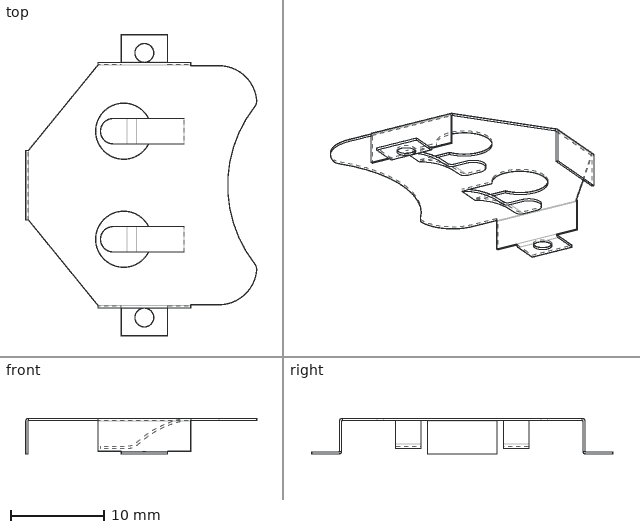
import cadquery as cq
import math


height = 3.85
sheet = 0.25
inner_bend = 0.05
outer_bend = inner_bend + sheet

side_face = 13.19
side_length = 10.0
side_bottom = outer_bend
end_face = 12.74
end_length = 7.5

overall_width = 32.35
foot_reach = overall_width / 2
foot_width = 5.0
foot_hole_offset = 14.2
foot_hole_diameter = 2.0

edge_relief = 0.04
side_bend_line = side_face - outer_bend
end_bend_line = end_face - outer_bend
free_edge = side_bend_line - edge_relief
corner_radius = 4.1
corner_x = 7.99
notch_radius = 13.75
notch_x = 22.71
horn_radius = 1.0

tongue_offset = 5.8
tongue_width = 2.75
tongue_tip_x = -4.72
tongue_root_x = 4.23
opening_x = -2.22
opening_diameter = 6.0
contact_top = 0.85
contact_end_x = -1.84
ramp_start_x = -0.83
ramp_start_slope = math.radians(43)

diagonal = math.sqrt(0.5)


def point_on_circle(center, radius, angle):
    return (center[0] + radius * math.cos(angle), center[1] + radius * math.sin(angle))


def make_plate():
    """Flat plate with tapered end, rounded horns and a concave thumb notch."""
    corner_center = (corner_x, free_edge - corner_radius)
    gap_x = notch_x - corner_center[0]
    gap_y = -corner_center[1]
    gap = math.hypot(gap_x, gap_y)
    along = (gap**2 + corner_radius**2 - notch_radius**2) / (2 * gap)
    horn_angle = math.atan2(gap_y, gap_x) + math.acos(along / corner_radius)
    horn = point_on_circle(corner_center, corner_radius, horn_angle)
    corner_mid = point_on_circle(corner_center, corner_radius, (horn_angle + math.pi / 2) / 2)

    half_side = side_length / 2
    half_end = end_length / 2
    outline = (
        cq.Workplane("XY", origin=(0, 0, height - sheet))
        .moveTo(-end_bend_line, -half_end)
        .lineTo(-end_bend_line, half_end)
        .lineTo(-half_side, side_bend_line)
        .lineTo(half_side, side_bend_line)
        .lineTo(half_side, free_edge)
        .lineTo(corner_x, free_edge)
        .threePointArc(corner_mid, horn)
        .threePointArc((notch_x - notch_radius, 0), (horn[0], -horn[1]))
        .threePointArc((corner_mid[0], -corner_mid[1]), (corner_x, -free_edge))
        .lineTo(half_side, -free_edge)
        .lineTo(half_side, -side_bend_line)
        .lineTo(-half_side, -side_bend_line)
        .close()
    )
    return outline.extrude(sheet).edges("|Z").edges(">X").fillet(horn_radius)


def extrude_centered(section, width):
    return section.close().extrude(width / 2, both=True)


def make_wall(face, length, bottom):
    """Wall folded down from the plate, facing +X, with its outer face at x = face."""
    bend_z = height - outer_bend
    bend_x = face - outer_bend
    section = (
        cq.Workplane("XZ")
        .moveTo(bend_x, height)
        .threePointArc((bend_x + outer_bend * diagonal, bend_z + outer_bend * diagonal), (face, bend_z))
        .lineTo(face, bottom)
        .lineTo(face - sheet, bottom)
        .lineTo(face - sheet, bend_z)
        .threePointArc(
            (bend_x + inner_bend * diagonal, bend_z + inner_bend * diagonal),
            (bend_x, height - sheet),
        )
    )
    return extrude_centered(section, length)


def make_foot():
    """Foot folded outward from the bottom of a side wall, pointing along +X."""
    bend_x = side_face + inner_bend
    bend_z = outer_bend
    section = (
        cq.Workplane("XZ")
        .moveTo(side_face - sheet, bend_z)
        .threePointArc((bend_x - outer_bend * diagonal, bend_z - outer_bend * diagonal), (bend_x, 0))
        .lineTo(foot_reach, 0)
        .lineTo(foot_reach, sheet)
        .lineTo(bend_x, sheet)
        .threePointArc(
            (bend_x - inner_bend * diagonal, bend_z - inner_bend * diagonal),
            (side_face, bend_z),
        )
    )
    hole = cq.Workplane("XY").center(foot_hole_offset, 0).circle(foot_hole_diameter / 2).extrude(side_bottom)
    return extrude_centered(section, foot_width).cut(hole)


def tongue_plan(y):
    """Prism over the tongue's plan shape: straight sides with a round tip."""
    half = tongue_width / 2
    return (
        cq.Workplane("XY")
        .moveTo(tongue_root_x, y - half)
        .lineTo(tongue_root_x, y + half)
        .lineTo(tongue_tip_x + half, y + half)
        .threePointArc((tongue_tip_x, y), (tongue_tip_x + half, y - half))
        .close()
        .extrude(height)
    )


def make_opening(y):
    """Keyhole cutter: a round hole joined to a slot as wide as the tongue."""
    hole = cq.Workplane("XY").center(opening_x, y).circle(opening_diameter / 2).extrude(height)
    return hole.union(tongue_plan(y))


def make_tongue(y):
    """Spring tongue: a curved ramp down from the plate, a bend and a flat contact."""
    bend_radius = (ramp_start_x - contact_end_x) / math.sin(ramp_start_slope)
    bend_center = (contact_end_x, contact_top + bend_radius)
    bend_start = -math.pi / 2
    bend_end = bend_start + ramp_start_slope
    ramp_start = point_on_circle(bend_center, bend_radius, bend_end)

    rise = height - ramp_start[1]
    run = tongue_root_x - ramp_start_x
    chord_angle = math.atan2(rise, run)
    half_turn = ramp_start_slope - chord_angle
    ramp_radius = math.hypot(rise, run) / (2 * math.sin(half_turn))
    ramp_center = point_on_circle(ramp_start, ramp_radius, ramp_start_slope - math.pi / 2)
    ramp_start_angle = ramp_start_slope + math.pi / 2
    ramp_mid_angle = ramp_start_angle - half_turn

    under_bend_radius = bend_radius + sheet
    under_ramp_radius = ramp_radius - sheet
    under_root_z = ramp_center[1] + math.sqrt(under_ramp_radius**2 - (tongue_root_x - ramp_center[0])**2)
    bend_mid = (bend_start + bend_end) / 2
    section = (
        cq.Workplane("XZ", origin=(0, y, 0))
        .moveTo(tongue_tip_x, contact_top)
        .lineTo(contact_end_x, contact_top)
        .threePointArc(point_on_circle(bend_center, bend_radius, bend_mid), ramp_start)
        .threePointArc(point_on_circle(ramp_center, ramp_radius, ramp_mid_angle), (tongue_root_x, height))
        .lineTo(tongue_root_x, under_root_z)
        .threePointArc(
            point_on_circle(ramp_center, under_ramp_radius, ramp_mid_angle),
            point_on_circle(ramp_center, under_ramp_radius, ramp_start_angle),
        )
        .threePointArc(
            point_on_circle(bend_center, under_bend_radius, bend_mid),
            (contact_end_x, contact_top - sheet),
        )
        .lineTo(tongue_tip_x, contact_top - sheet)
    )
    return extrude_centered(section, tongue_width).intersect(tongue_plan(y))


def turned(body, angle):
    return body.rotate((0, 0, 0), (0, 0, 1), angle)


result = make_plate()
result = result.union(turned(make_wall(end_face, end_length, 0), 180))
for angle in (90, -90):
    result = result.union(turned(make_wall(side_face, side_length, side_bottom), angle))
    result = result.union(turned(make_foot(), angle))
for y in (tongue_offset, -tongue_offset):
    result = result.cut(make_opening(y)).union(make_tongue(y))